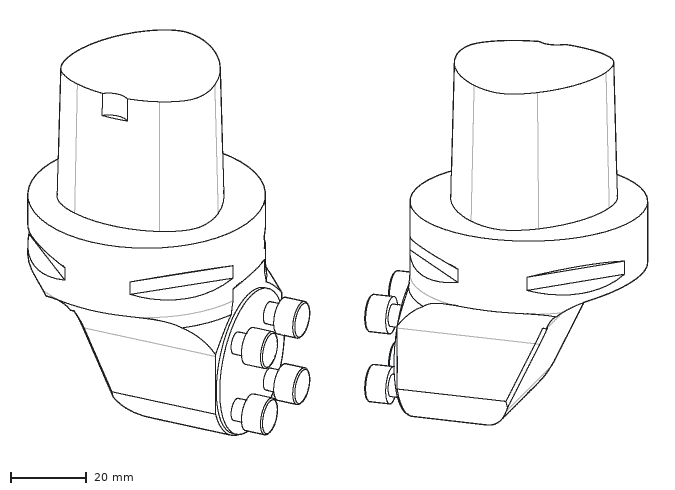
import math

import cadquery as cq

FLANGE_DIAMETER = 63.0
FLANGE_RADIUS = FLANGE_DIAMETER / 2

SHANK_HEIGHT = 38.0
SHANK_BASE_WIDTH = 44.2
SHANK_TAPER = 1 / 20
SHANK_TOP_WIDTH = SHANK_BASE_WIDTH - SHANK_HEIGHT * SHANK_TAPER
LOBE_RISE = 1.65
LOBE_COUNT = 3
FIRST_LOBE_ANGLE = 90.0
LOBE_SEAM_ANGLE = 37.5
CURVE_POINTS = 7

KEYWAY_RADIUS = 5.3
KEYWAY_AXIS_Y = -23.2
KEYWAY_DEPTH = 6.5

GROOVE_COUNT = 4
GROOVE_FIRST_ANGLE = 45.0
GROOVE_FLOOR_DISTANCE = 28.0
GROOVE_FLOOR_HEIGHT = 3.7
GROOVE_CENTER_Z = -12.0
GROOVE_FLANK_ANGLE = 30.0

HEAD_BOTTOM_Z = -62.8
HEAD_HALF_WIDTH = 20.25
SIDE_FILLET_RADIUS = 12.0
SIDE_FILLET_TOP_Z = -20.25
NOSE_RADIUS = 22.0
FACE_X = 30.0
FACE_CHAMFER_TOP_Z = -15.9
FACE_CHAMFER_HEIGHT = 1.2

FLARE_TOP_Z = -20.6
FLARE_BOTTOM_Z = -24.2
FLARE_WIDENING = 0.35
CONE_ANGLE = 30.0
CONE_OUTER_RADIUS = 40.0

BACK_EDGE_Z = -17.0
BACK_TOP_ANGLE = 9.5
BACK_SLOPE_ANGLE = 25.5
BACK_SLOPE_X = -12.1
BACK_SLOPE_Z = -27.3
BACK_CONCAVE_RADIUS = 16.3
BACK_CONVEX_RADIUS = 17.6
BACK_CHAMFER = 1.0

PAD_THICKNESS = 1.0
PAD_DIAMETER = 39.6
PAD_CENTER_Z = -42.7
SCREW_PATTERN_Z = -42.6
SCREW_OFFSET = 9.85
SCREW_DIAMETER = 6.0
SCREW_NECK_LENGTH = 4.0
SCREW_HEAD_DIAMETER = 10.0
SCREW_HEAD_LENGTH = 6.0
SCREW_HEAD_CHAMFER = 0.4

REACH = 100.0


def lobed_point(width, lobe_angle, normal_angle):
    """Point of the constant-width curve whose normal is normal_angle away from the lobe."""
    angle = math.radians(normal_angle)
    support = width / 2 + LOBE_RISE * math.cos(LOBE_COUNT * angle)
    support_slope = -LOBE_COUNT * LOBE_RISE * math.sin(LOBE_COUNT * angle)
    direction = math.radians(lobe_angle) + angle
    x = support * math.cos(direction) - support_slope * math.sin(direction)
    y = support * math.sin(direction) + support_slope * math.cos(direction)
    return cq.Vector(x, y, 0)


def lobed_tangent(lobe_angle, normal_angle):
    """Direction of the curve where its normal is normal_angle away from the lobe."""
    direction = math.radians(lobe_angle + normal_angle)
    return cq.Vector(-math.sin(direction), math.cos(direction), 0)


def lobed_span(width, lobe_angle, start, end):
    step = (end - start) / (CURVE_POINTS - 1)
    points = [lobed_point(width, lobe_angle, start + i * step) for i in range(CURVE_POINTS)]
    tangents = [lobed_tangent(lobe_angle, start), lobed_tangent(lobe_angle, end)]
    return cq.Edge.makeSpline(points, tangents=tangents)


def lobed_wire(width, z):
    pitch = 360 / LOBE_COUNT
    edges = []
    for i in range(LOBE_COUNT):
        lobe_angle = FIRST_LOBE_ANGLE + i * pitch
        edges.append(lobed_span(width, lobe_angle, -LOBE_SEAM_ANGLE, LOBE_SEAM_ANGLE))
        edges.append(lobed_span(width, lobe_angle, LOBE_SEAM_ANGLE, pitch - LOBE_SEAM_ANGLE))
    return cq.Wire.assembleEdges(edges).translate(cq.Vector(0, 0, z))


def make_shank():
    base = lobed_wire(SHANK_BASE_WIDTH, 0)
    top = lobed_wire(SHANK_TOP_WIDTH, SHANK_HEIGHT)
    shank = cq.Workplane(obj=cq.Solid.makeLoft([base, top], True))
    keyway = (
        cq.Workplane("XY", origin=(0, KEYWAY_AXIS_Y, SHANK_HEIGHT))
        .circle(KEYWAY_RADIUS)
        .extrude(-KEYWAY_DEPTH)
    )
    return shank.cut(keyway)


def make_revolved_stock():
    """Flange cylinder that flares slightly and then widens into a cone."""
    flare_radius = FLANGE_RADIUS + FLARE_WIDENING
    cone_height = (CONE_OUTER_RADIUS - flare_radius) / math.tan(math.radians(CONE_ANGLE))
    return (
        cq.Workplane("XZ")
        .lineTo(FLANGE_RADIUS, 0)
        .lineTo(FLANGE_RADIUS, FLARE_TOP_Z)
        .lineTo(flare_radius, FLARE_BOTTOM_Z)
        .lineTo(CONE_OUTER_RADIUS, FLARE_BOTTOM_Z - cone_height)
        .lineTo(CONE_OUTER_RADIUS, HEAD_BOTTOM_Z)
        .lineTo(0, HEAD_BOTTOM_Z)
        .close()
        .revolve(360, (0, 0, 0), (0, 1, 0))
    )


def make_width_envelope():
    """Outline across Y: flange, concave side fillets, flat sides and round nose."""
    fillet_end_z = SIDE_FILLET_TOP_Z - SIDE_FILLET_RADIUS
    fillet_outer_y = HEAD_HALF_WIDTH + SIDE_FILLET_RADIUS
    nose_center_z = HEAD_BOTTOM_Z + NOSE_RADIUS
    nose_start_z = nose_center_z - math.sqrt(NOSE_RADIUS**2 - HEAD_HALF_WIDTH**2)
    return (
        cq.Workplane("YZ", origin=(-REACH, 0, 0))
        .moveTo(-REACH, 0)
        .lineTo(REACH, 0)
        .lineTo(REACH, SIDE_FILLET_TOP_Z)
        .lineTo(fillet_outer_y, SIDE_FILLET_TOP_Z)
        .radiusArc((HEAD_HALF_WIDTH, fillet_end_z), -SIDE_FILLET_RADIUS)
        .lineTo(HEAD_HALF_WIDTH, nose_start_z)
        .threePointArc((0, HEAD_BOTTOM_Z), (-HEAD_HALF_WIDTH, nose_start_z))
        .lineTo(-HEAD_HALF_WIDTH, fillet_end_z)
        .radiusArc((-fillet_outer_y, SIDE_FILLET_TOP_Z), -SIDE_FILLET_RADIUS)
        .lineTo(-REACH, SIDE_FILLET_TOP_Z)
        .close()
        .extrude(2 * REACH)
    )


def make_depth_envelope():
    """Outline across X: flange rim, chamfered flat face and sloping back."""
    top_angle = math.radians(BACK_TOP_ANGLE)
    slope_angle = math.radians(BACK_SLOPE_ANGLE)
    slope_run = math.tan(slope_angle)

    concave_start_x = BACK_SLOPE_X - BACK_CONCAVE_RADIUS * (math.cos(slope_angle) - math.sin(top_angle))
    concave_start_z = BACK_SLOPE_Z + BACK_CONCAVE_RADIUS * (math.cos(top_angle) - math.sin(slope_angle))

    convex_start_z = HEAD_BOTTOM_Z + BACK_CONVEX_RADIUS * (1 - math.sin(slope_angle))
    convex_start_x = BACK_SLOPE_X + (BACK_SLOPE_Z - convex_start_z) * slope_run
    convex_end_x = convex_start_x + BACK_CONVEX_RADIUS * math.cos(slope_angle)

    return (
        cq.Workplane("XZ", origin=(0, REACH, 0))
        .moveTo(-FLANGE_RADIUS, 0)
        .lineTo(FLANGE_RADIUS, 0)
        .lineTo(FLANGE_RADIUS, FACE_CHAMFER_TOP_Z)
        .lineTo(FACE_X, FACE_CHAMFER_TOP_Z - FACE_CHAMFER_HEIGHT)
        .lineTo(FACE_X, HEAD_BOTTOM_Z)
        .lineTo(convex_end_x, HEAD_BOTTOM_Z)
        .radiusArc((convex_start_x, convex_start_z), BACK_CONVEX_RADIUS)
        .lineTo(BACK_SLOPE_X, BACK_SLOPE_Z)
        .radiusArc((concave_start_x, concave_start_z), -BACK_CONCAVE_RADIUS)
        .lineTo(-FLANGE_RADIUS, BACK_EDGE_Z)
        .close()
        .extrude(2 * REACH)
    )


def make_head():
    """Flange and overhanging head; the back edges are chamfered only along the straight slope."""
    head = make_revolved_stock().intersect(make_width_envelope()).intersect(make_depth_envelope())
    upper_zone = cq.Workplane("XY", origin=(0, 0, BACK_SLOPE_Z)).rect(REACH, REACH).extrude(REACH)
    slope_angle = math.radians(BACK_SLOPE_ANGLE)
    slope_direction = cq.Vector(math.sin(slope_angle), 0, -math.cos(slope_angle))
    lower_part = head.cut(upper_zone)
    slope_edges = lower_part.edges(cq.selectors.ParallelDirSelector(slope_direction))
    return head.intersect(upper_zone).union(slope_edges.chamfer(BACK_CHAMFER))


def make_groove(angle):
    depth = FLANGE_RADIUS - GROOVE_FLOOR_DISTANCE
    half_floor = GROOVE_FLOOR_HEIGHT / 2
    half_mouth = half_floor + depth * math.tan(math.radians(GROOVE_FLANK_ANGLE))
    groove = (
        cq.Workplane("XZ", origin=(0, FLANGE_RADIUS, GROOVE_CENTER_Z))
        .moveTo(GROOVE_FLOOR_DISTANCE, half_floor)
        .lineTo(FLANGE_RADIUS, half_mouth)
        .lineTo(FLANGE_RADIUS, -half_mouth)
        .lineTo(GROOVE_FLOOR_DISTANCE, -half_floor)
        .close()
        .extrude(FLANGE_DIAMETER)
    )
    return groove.rotate((0, 0, 0), (0, 0, 1), angle)


def make_pad():
    """Thin round pad on the flat face."""
    return (
        cq.Workplane("YZ", origin=(FACE_X, 0, PAD_CENTER_Z))
        .circle(PAD_DIAMETER / 2)
        .extrude(PAD_THICKNESS)
    )


def make_screw(y, z):
    pad_face_x = FACE_X + PAD_THICKNESS
    neck = (
        cq.Workplane("YZ", origin=(pad_face_x, y, z))
        .circle(SCREW_DIAMETER / 2)
        .extrude(SCREW_NECK_LENGTH)
    )
    screw_head = (
        cq.Workplane("YZ", origin=(pad_face_x + SCREW_NECK_LENGTH, y, z))
        .circle(SCREW_HEAD_DIAMETER / 2)
        .extrude(SCREW_HEAD_LENGTH)
        .faces(">X")
        .chamfer(SCREW_HEAD_CHAMFER)
    )
    return neck.union(screw_head)


result = make_head()

for i in range(GROOVE_COUNT):
    result = result.cut(make_groove(GROOVE_FIRST_ANGLE + i * 360 / GROOVE_COUNT))

result = result.union(make_shank()).union(make_pad())

for side_y in (-1, 1):
    for side_z in (-1, 1):
        result = result.union(make_screw(side_y * SCREW_OFFSET, SCREW_PATTERN_Z + side_z * SCREW_OFFSET))